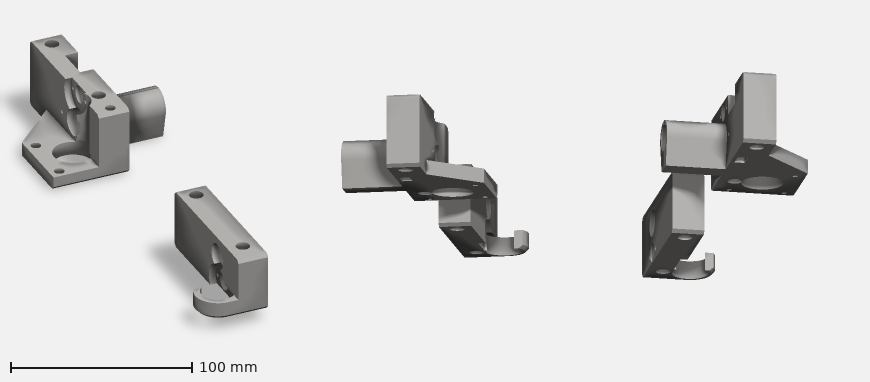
import cadquery as cq
import math

TOP_Z = 41.0
EDGE_CHAMFER = 2.0
BOLT_DIAMETER = 8.0
BOLT_INSET = 9.1
BOLT_SPACING = 62.0
ROD_DIAMETER = 15.3
SCREW_SHAFT_DIAMETER = 10.2
ROD_TO_SHAFT = 17.0
NUT_DIAMETER = 22.0
NUT_RECESS_DEPTH = 4.0
NUT_PIN_DIAMETER = 2.7
NUT_PIN_OFFSET = 8.3
ROD_INSET = 56.8
MOTOR_AXIS_OFFSET = 6.2

MOTOR_BLOCK_LENGTH = 91.7
MOTOR_BLOCK_DEPTH = 18.5
MOTOR_ROD_Z = 18.0
PLATE_THICKNESS = 8.0
PLATE_REACH = 27.5
PLATE_LEFT = 22.0
BOSS_DIAMETER = 23.0
BOSS_HEIGHT = 10.5
COUPLER_DIAMETER = 20.5
MOTOR_SCREW_PITCH = 31.0
MOTOR_SCREW_DIAMETER = 3.0
MOTOR_SCREW_HEAD_DIAMETER = 6.0
MOTOR_SCREW_FLOOR = 3.0
TUBE_DIAMETER = 19.6
TUBE_LENGTH = 33.5
TUBE_SLOT_WIDTH = 0.8
TUBE_TANGENT_DROP = 2.2
PIVOT_X = 42.8
PIVOT_HOLE_DIAMETER = 2.7
PIVOT_BOSS_DIAMETER = 10.2
POCKET_LEFT = 23.7
POCKET_RIGHT = 43.8
POCKET_FRONT = 10.5
POCKET_BACK = 16.1
POCKET_WALL_TOP = 29.5
POCKET_FLOOR = MOTOR_ROD_Z
POCKET_OPENING_LEFT = 28.5

HOOK_BLOCK_LEFT = 184.0
HOOK_BLOCK_RIGHT = 269.0
HOOK_BLOCK_FRONT = 3.8
HOOK_BLOCK_BACK = 21.8
HOOK_BLOCK_BOTTOM = 6.0
HOOK_SHAFT_Z = 11.8
HOOK_TOP = 16.1
HOOK_INNER_RADIUS = 10.0
HOOK_OUTER_RADIUS = 13.7
HOOK_TIP_OFFSET = 7.3


def box(x0, x1, y0, y1, z0, z1):
    """Box between two corners."""
    return cq.Workplane("XY").box(x1 - x0, y1 - y0, z1 - z0, centered=False).translate((x0, y0, z0))


def rod_along_y(x, z, diameter, y0, y1):
    """Cylinder along Y from y0 to y1."""
    return cq.Workplane("XZ", origin=(x, y0, z)).circle(diameter / 2).extrude(y0 - y1)


def rod_along_z(x, y, diameter, z0, z1):
    """Cylinder along Z from z0 to z1."""
    return cq.Workplane("XY", origin=(x, y, z0)).circle(diameter / 2).extrude(z1 - z0)


def chamfered_block(x0, x1, y0, y1, z0, z1):
    """Block whose four edges along Y are chamfered."""
    return box(x0, x1, y0, y1, z0, z1).edges("|Y").chamfer(EDGE_CHAMFER)


def cut_bolt_holes(body, left, y, z0):
    """Two vertical bolt holes through a block."""
    for x in (left + BOLT_INSET, left + BOLT_INSET + BOLT_SPACING):
        body = body.cut(rod_along_z(x, y, BOLT_DIAMETER, z0, TOP_Z))
    return body


def cut_nut_seat(body, x, z, y0, y1):
    """Lead screw hole with the nut flange recess in the front face and two pin holes."""
    body = body.cut(rod_along_y(x, z, NUT_DIAMETER, y0, y0 + NUT_RECESS_DEPTH))
    body = body.cut(rod_along_y(x, z, SCREW_SHAFT_DIAMETER, y0, y1))
    for side in (-1, 1):
        body = body.cut(rod_along_y(x + side * NUT_PIN_OFFSET, z, NUT_PIN_DIAMETER, y0, y1))
    return body


def motor_plate():
    """Plate with one 45 degree side, running under the whole depth of the block."""
    outline = [
        (PLATE_LEFT, 0),
        (PLATE_LEFT + PLATE_REACH, -PLATE_REACH),
        (MOTOR_BLOCK_LENGTH, -PLATE_REACH),
        (MOTOR_BLOCK_LENGTH, MOTOR_BLOCK_DEPTH),
        (PLATE_LEFT, MOTOR_BLOCK_DEPTH),
    ]
    plate = cq.Workplane("XY").polyline(outline).close().extrude(PLATE_THICKNESS)
    return plate.edges(">X and <Z").chamfer(EDGE_CHAMFER)


def rod_tube(x):
    """Tube behind the block, standing on flat sides that run tangent from the round part."""
    radius = TUBE_DIAMETER / 2
    tangent_z = MOTOR_ROD_Z - TUBE_TANGENT_DROP
    tangent_half = math.sqrt(radius**2 - TUBE_TANGENT_DROP**2)
    foot_half = tangent_half - tangent_z * TUBE_TANGENT_DROP / tangent_half
    return (
        cq.Workplane("XZ", origin=(x, MOTOR_BLOCK_DEPTH, 0))
        .moveTo(-foot_half, 0)
        .lineTo(-tangent_half, tangent_z)
        .threePointArc((0, MOTOR_ROD_Z + radius), (tangent_half, tangent_z))
        .lineTo(foot_half, 0)
        .close()
        .extrude(-TUBE_LENGTH)
    )


def pivot_pocket():
    """Pocket open at the top, around the boss of the pivot hole, and partly through the bottom."""
    slot = box(POCKET_LEFT, POCKET_RIGHT, POCKET_FRONT, POCKET_BACK, POCKET_FLOOR, TOP_Z)
    rear_opening = box(POCKET_LEFT, POCKET_RIGHT, POCKET_FRONT, MOTOR_BLOCK_DEPTH, POCKET_WALL_TOP, TOP_Z)
    drop = box(POCKET_OPENING_LEFT, PIVOT_X, POCKET_FRONT, POCKET_BACK, 0, TOP_Z)
    boss = rod_along_y(PIVOT_X, MOTOR_ROD_Z, PIVOT_BOSS_DIAMETER, POCKET_FRONT, POCKET_BACK)
    boss_base = box(PIVOT_X - PIVOT_BOSS_DIAMETER / 2, PIVOT_X, POCKET_FRONT, POCKET_BACK, 0, MOTOR_ROD_Z)
    return slot.union(rear_opening).union(drop).cut(boss).cut(boss_base)


def motor_holder():
    rod_x = ROD_INSET
    motor_x = BOLT_INSET + BOLT_SPACING
    tube_back = MOTOR_BLOCK_DEPTH + TUBE_LENGTH
    body = chamfered_block(0, MOTOR_BLOCK_LENGTH, 0, MOTOR_BLOCK_DEPTH, 0, TOP_Z)
    body = body.union(motor_plate()).union(rod_tube(rod_x))

    body = body.cut(pivot_pocket())
    body = body.cut(rod_along_y(PIVOT_X, MOTOR_ROD_Z, PIVOT_HOLE_DIAMETER, 0, MOTOR_BLOCK_DEPTH))
    body = body.cut(rod_along_y(rod_x, MOTOR_ROD_Z, ROD_DIAMETER, 0, tube_back))
    half_slot = TUBE_SLOT_WIDTH / 2
    body = body.cut(
        box(rod_x - half_slot, rod_x + half_slot, MOTOR_BLOCK_DEPTH, tube_back, MOTOR_ROD_Z, TOP_Z)
    )
    body = cut_nut_seat(body, rod_x, MOTOR_ROD_Z + ROD_TO_SHAFT, 0, MOTOR_BLOCK_DEPTH)
    body = cut_bolt_holes(body, 0, MOTOR_BLOCK_DEPTH / 2, 0)

    body = body.cut(rod_along_z(motor_x, -MOTOR_AXIS_OFFSET, BOSS_DIAMETER, 0, BOSS_HEIGHT))
    body = body.cut(rod_along_z(motor_x, -MOTOR_AXIS_OFFSET, COUPLER_DIAMETER, 0, TOP_Z))
    half_pitch = MOTOR_SCREW_PITCH / 2
    for dx, dy in ((-half_pitch, -half_pitch), (half_pitch, -half_pitch), (half_pitch, half_pitch)):
        x, y = motor_x + dx, dy - MOTOR_AXIS_OFFSET
        body = body.cut(rod_along_z(x, y, MOTOR_SCREW_DIAMETER, 0, TOP_Z))
        body = body.cut(rod_along_z(x, y, MOTOR_SCREW_HEAD_DIAMETER, MOTOR_SCREW_FLOOR, TOP_Z))
    return body


def hook(axis_x, axis_y):
    """Solid rounded lug before it is hollowed, cut off flat at its left side."""
    tip_y = axis_y - math.sqrt(HOOK_OUTER_RADIUS**2 - HOOK_TIP_OFFSET**2)
    diagonal = HOOK_OUTER_RADIUS / math.sqrt(2)
    lug = (
        cq.Workplane("XY", origin=(0, 0, HOOK_BLOCK_BOTTOM))
        .moveTo(axis_x - HOOK_TIP_OFFSET, HOOK_BLOCK_FRONT)
        .lineTo(axis_x - HOOK_TIP_OFFSET, tip_y)
        .threePointArc((axis_x + diagonal, axis_y - diagonal), (HOOK_BLOCK_RIGHT, axis_y))
        .lineTo(HOOK_BLOCK_RIGHT, HOOK_BLOCK_FRONT)
        .close()
        .extrude(HOOK_TOP - HOOK_BLOCK_BOTTOM)
    )
    outer_edges = lug.faces("<Z").edges("%CIRCLE or >X")
    return outer_edges.chamfer(EDGE_CHAMFER)


def hook_holder():
    axis_x = HOOK_BLOCK_RIGHT - HOOK_OUTER_RADIUS
    axis_y = HOOK_BLOCK_FRONT - MOTOR_AXIS_OFFSET
    rod_x = HOOK_BLOCK_LEFT + ROD_INSET
    bolt_y = (HOOK_BLOCK_FRONT + HOOK_BLOCK_BACK) / 2
    body = chamfered_block(
        HOOK_BLOCK_LEFT, HOOK_BLOCK_RIGHT, HOOK_BLOCK_FRONT, HOOK_BLOCK_BACK, HOOK_BLOCK_BOTTOM, TOP_Z
    )
    body = body.union(hook(axis_x, axis_y))
    body = body.cut(rod_along_z(axis_x, axis_y, 2 * HOOK_INNER_RADIUS, HOOK_BLOCK_BOTTOM, HOOK_TOP))
    gap_left = axis_x - HOOK_TIP_OFFSET
    body = body.cut(box(gap_left, axis_x, axis_y, HOOK_BLOCK_FRONT, HOOK_BLOCK_BOTTOM, HOOK_TOP))

    body = body.cut(
        rod_along_y(rod_x, HOOK_SHAFT_Z + ROD_TO_SHAFT, ROD_DIAMETER, HOOK_BLOCK_FRONT, HOOK_BLOCK_BACK)
    )
    body = cut_nut_seat(body, rod_x, HOOK_SHAFT_Z, HOOK_BLOCK_FRONT, HOOK_BLOCK_BACK)
    return cut_bolt_holes(body, HOOK_BLOCK_LEFT, bolt_y, HOOK_BLOCK_BOTTOM)


motor_holder_body = motor_holder()
hook_holder_body = hook_holder()
result = cq.Compound.makeCompound([motor_holder_body.val(), hook_holder_body.val()])